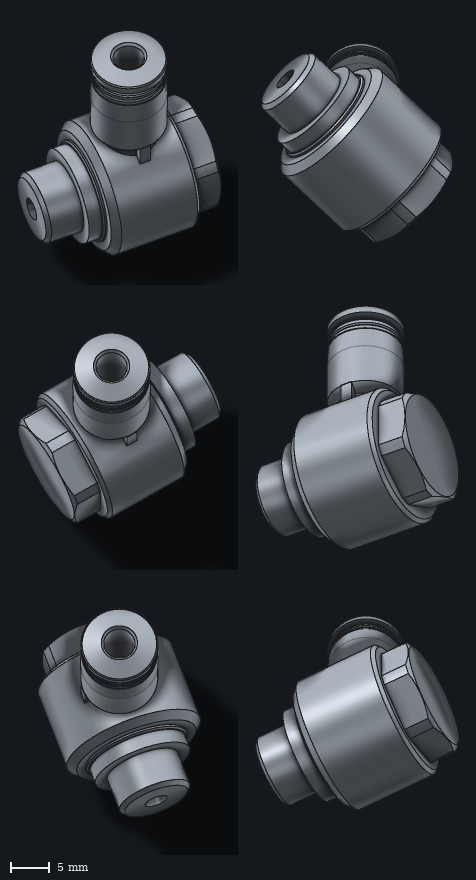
import cadquery as cq
import math


overall_length = 23.7
overall_height = 32.6

body_diameter = 18.4
body_radius = body_diameter / 2
body_front = -6.35
body_back = 5.95
front_chamfer = 1.0
back_chamfer = 0.5

seal_diameter = 13.9
seal_length = 0.5
seal_bevel = 0.23
collar_diameter = 13.0
collar_front = -8.7
stud_diameter = 9.7
stud_front = -13.82
stud_chamfer = 0.55

hex_across_flats = 14.02
hex_corner_diameter = 15.4
hex_end_diameter = 13.9
hex_back = stud_front + overall_length
hex_chamfer_angle = 30
hex_half_sector = 180 / 6

stem_top = overall_height - body_radius
neck_diameter = 8.0
neck_top = 9.32
sleeve_diameter = 10.0
sleeve_bottom_diameter = 9.9
sleeve_bottom = 10.6
sleeve_widest_height = 16.25
sleeve_top_diameter = 9.7
sleeve_top = 19.3
rim_diameter = 9.5
rim_top = 20.93
rim_groove_bottom = 19.85
rim_groove_top = 20.28
rim_groove_depth = 0.15
rim_chamfer = 0.15

button_neck_diameter = 5.4
button_diameter = 9.9
button_bottom = 21.8
button_edge_top = 22.92
button_edge_bevel = 0.15
button_undercut_diameter = 5.2
button_undercut_height = 0.13

rib_width = 1.5
rib_bottom = 6.52

passage_diameter = 3.0
socket_diameter = 4.0
socket_mouth_diameter = 4.65
socket_depth = 13.05


def turned_about_y(outline):
    """Revolve (radius, y) points about the body axis."""
    return cq.Workplane("XY").polyline(outline).close().revolve(360, (0, 0), (0, 1))


def turned_about_z(outline):
    """Revolve (radius, z) points about the stem axis."""
    return cq.Workplane("XZ").polyline(outline).close().revolve(360, (0, 0), (0, 1))


def make_body():
    """Swivel body with the seal ring, collar and plain stud in front."""
    seal_radius = seal_diameter / 2
    collar_radius = collar_diameter / 2
    stud_radius = stud_diameter / 2
    seal_front = body_front - seal_length
    return turned_about_y([
        (0, stud_front),
        (stud_radius - stud_chamfer, stud_front),
        (stud_radius, stud_front + stud_chamfer),
        (stud_radius, collar_front),
        (collar_radius, collar_front),
        (collar_radius, seal_front),
        (seal_radius - seal_bevel, seal_front),
        (seal_radius, seal_front + seal_bevel),
        (seal_radius, body_front),
        (body_radius - front_chamfer, body_front),
        (body_radius, body_front + front_chamfer),
        (body_radius, body_back - back_chamfer),
        (body_radius - back_chamfer, body_back),
        (0, body_back),
    ])


def make_hex_head():
    """Hexagon with flats facing +X and -X, corners turned round and the end chamfered."""
    head_length = hex_back - body_back
    hexagon = (
        cq.Workplane("XZ", origin=(0, hex_back, 0))
        .polygon(6, hex_across_flats / math.cos(math.radians(hex_half_sector)))
        .extrude(head_length)
        .rotate((0, 0, 0), (0, 1, 0), hex_half_sector)
    )
    corner_radius = hex_corner_diameter / 2
    end_radius = hex_end_diameter / 2
    chamfer_length = (corner_radius - end_radius) * math.tan(math.radians(hex_chamfer_angle))
    envelope = turned_about_y([
        (0, body_back),
        (corner_radius, body_back),
        (corner_radius, hex_back - chamfer_length),
        (end_radius, hex_back),
        (0, hex_back),
    ])
    return hexagon.intersect(envelope)


def make_stem():
    """Neck, sleeve, grooved rim and release button of the tube stem."""
    sleeve_radius = sleeve_diameter / 2
    sleeve_top_radius = sleeve_top_diameter / 2
    rim_radius = rim_diameter / 2
    button_neck_radius = button_neck_diameter / 2
    button_undercut_radius = button_undercut_diameter / 2
    button_neck_top = button_bottom - button_undercut_height
    button_radius = button_diameter / 2
    shoulder_mid_radius = sleeve_radius - (sleeve_radius - sleeve_top_radius) / 4
    shoulder_mid_height = (sleeve_widest_height + sleeve_top) / 2
    outline = (
        cq.Workplane("XZ")
        .lineTo(neck_diameter / 2, 0)
        .lineTo(neck_diameter / 2, neck_top)
        .lineTo(sleeve_bottom_diameter / 2, sleeve_bottom)
        .lineTo(sleeve_radius, sleeve_widest_height)
        .threePointArc((shoulder_mid_radius, shoulder_mid_height), (sleeve_top_radius, sleeve_top))
        .lineTo(rim_radius, sleeve_top)
        .lineTo(rim_radius, rim_groove_bottom)
        .lineTo(rim_radius - rim_groove_depth, (rim_groove_bottom + rim_groove_top) / 2)
        .lineTo(rim_radius, rim_groove_top)
        .lineTo(rim_radius, rim_top - rim_chamfer)
        .lineTo(rim_radius - rim_chamfer, rim_top)
        .lineTo(button_neck_radius, rim_top)
        .lineTo(button_neck_radius, button_neck_top)
        .lineTo(button_undercut_radius, button_bottom)
        .lineTo(button_radius, button_bottom)
        .lineTo(button_radius, button_edge_top - button_edge_bevel)
        .lineTo(button_radius - button_edge_bevel, button_edge_top)
        .lineTo(socket_mouth_diameter / 2, stem_top)
        .lineTo(0, stem_top)
        .close()
    )
    return outline.revolve(360, (0, 0), (0, 1))


def make_ribs():
    """One plate across the stem axis, which forms the rib on each side of the neck."""
    return cq.Workplane("XY", origin=(0, 0, rib_bottom)).rect(sleeve_diameter, rib_width).extrude(
        sleeve_bottom - rib_bottom
    )


def make_passage():
    """Elbow bore from the stud to the stem, with a rounded corner and a wider tube socket."""
    bore_radius = passage_diameter / 2
    socket_radius = socket_diameter / 2
    mouth_radius = socket_mouth_diameter / 2
    socket_bottom = stem_top - socket_depth
    stem_bore = turned_about_z([
        (0, 0),
        (bore_radius, 0),
        (bore_radius, socket_bottom),
        (socket_radius, socket_bottom),
        (socket_radius, stem_top - (mouth_radius - socket_radius)),
        (mouth_radius, stem_top),
        (0, stem_top),
    ])
    stud_bore = cq.Workplane("XZ").circle(bore_radius).extrude(-stud_front)
    elbow_corner = cq.Workplane("XY").sphere(bore_radius)
    return stem_bore.union(stud_bore).union(elbow_corner)


solid_fitting = make_body().union(make_hex_head()).union(make_stem()).union(make_ribs())
result = solid_fitting.cut(make_passage())